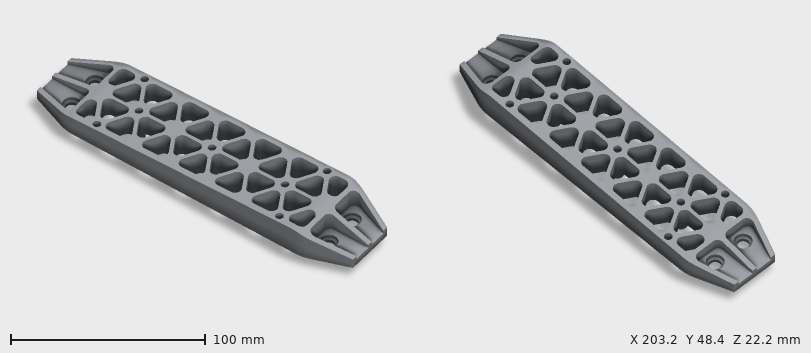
import cadquery as cq
import math

LENGTH = 203.2
WIDTH = 48.4
HALF_LENGTH = LENGTH / 2
HALF_WIDTH = WIDTH / 2

TIP_HALF_WIDTH = 14.6
TAPER_LENGTH = 25.6
SHOULDER_RADIUS = 26.5

TIP_HEIGHT = 6.0
KNEE_X = 71.7
LOW_KNEE_HEIGHT = 11.8
TOP_SLOPE = 0.036
HIGH_KNEE_HEIGHT = LOW_KNEE_HEIGHT + 2 * KNEE_X * TOP_SLOPE
KNEE_RADIUS = 15.0

PIN_SPACING = 47.0
PITCH = PIN_SPACING / 2
TRIANGLE_SIDE = 20.5
TRIANGLE_HEIGHT = TRIANGLE_SIDE * math.sqrt(3) / 2
WINDOW_RADIUS = 3.5
INNER_BASE_Y = 1.0
OUTER_BASE_Y = 20.5
END_WALL_X = 73.8
END_RIB_EXTRA = 0.5

HOLE_DIAMETER = 4.5
CORNER_HOLE_Y = 20.3
PIN_DIAMETER = 7.0
PIN_LENGTH = 5.3

POCKET_FLOOR = 4.0
POCKET_BACK_DEPTH = 25.5
POCKET_RIM = 3.0
POCKET_RADIUS = 3.5
CENTRE_RIB = 3.0
SCREW_INSET = 18.9
SCREW_Y = 10.0
SCREW_DIAMETER = 6.5
COUNTERBORE_DIAMETER = 9.8
COUNTERBORE_DEPTH = 2.0

CUT_HEIGHT = 40.6
TIP_OVERRUN = 10.2

SIDES = (-1, 1)


def edges_within(solid, direction, reach_x):
    """Straight edges along a direction that lie no farther than reach_x from the middle."""
    margin = 2.0
    box = cq.selectors.BoxSelector(
        (-reach_x - margin, -WIDTH, 0), (reach_x + margin, WIDTH, CUT_HEIGHT)
    )
    return solid.edges(direction).edges(box)


def make_body():
    """Plate with tapered ends, trimmed to the sloping top profile."""
    shoulder_x = HALF_LENGTH - TAPER_LENGTH
    plan = (
        cq.Workplane("XY")
        .polyline([
            (-HALF_LENGTH, -TIP_HALF_WIDTH),
            (-shoulder_x, -HALF_WIDTH),
            (shoulder_x, -HALF_WIDTH),
            (HALF_LENGTH, -TIP_HALF_WIDTH),
            (HALF_LENGTH, TIP_HALF_WIDTH),
            (shoulder_x, HALF_WIDTH),
            (-shoulder_x, HALF_WIDTH),
            (-HALF_LENGTH, TIP_HALF_WIDTH),
        ])
        .close()
        .extrude(CUT_HEIGHT)
    )
    plan = edges_within(plan, "|Z", shoulder_x).fillet(SHOULDER_RADIUS)

    profile = (
        cq.Workplane("XZ")
        .polyline([
            (-HALF_LENGTH, 0),
            (HALF_LENGTH, 0),
            (HALF_LENGTH, TIP_HEIGHT),
            (KNEE_X, HIGH_KNEE_HEIGHT),
            (-KNEE_X, LOW_KNEE_HEIGHT),
            (-HALF_LENGTH, TIP_HEIGHT),
        ])
        .close()
        .extrude(HALF_WIDTH, both=True)
    )
    profile = edges_within(profile, "|Y", KNEE_X).fillet(KNEE_RADIUS)
    return plan.intersect(profile)


def window(corners):
    """Through cutter with rounded corners."""
    prism = cq.Workplane("XY").polyline(corners).close().extrude(CUT_HEIGHT)
    return prism.edges("|Z").fillet(WINDOW_RADIUS)


def triangle_window(x, base_y, apex_y):
    """Whole triangle with its base parallel to X."""
    half_side = TRIANGLE_SIDE / 2
    return window([(x - half_side, base_y), (x + half_side, base_y), (x, apex_y)])


def end_window(end, side):
    """Triangle of the outer row cut off by the end wall."""
    sharp_x = 3 * PITCH - TRIANGLE_SIDE / 2 + END_RIB_EXTRA
    point_y = OUTER_BASE_Y - (END_WALL_X - sharp_x) * math.sqrt(3)
    return window([
        (end * END_WALL_X, side * OUTER_BASE_Y),
        (end * sharp_x, side * OUTER_BASE_Y),
        (end * END_WALL_X, side * point_y),
    ])


def cut_lattice(body):
    """Interleaved rows of triangles, mirrored about the centre line."""
    for side in SIDES:
        for step in range(-2, 3):
            apex_y = OUTER_BASE_Y - TRIANGLE_HEIGHT
            body = body.cut(triangle_window(step * PITCH, side * OUTER_BASE_Y, side * apex_y))
        for step in range(-3, 3):
            apex_y = INNER_BASE_Y + TRIANGLE_HEIGHT
            body = body.cut(triangle_window((step + 0.5) * PITCH, side * INNER_BASE_Y, side * apex_y))
        for end in SIDES:
            body = body.cut(end_window(end, side))
    return body


def add_pins_and_holes(body):
    """Hollow pins under the centre line and plain holes near the corners."""
    pin_points = [(step * PIN_SPACING, 0) for step in (-1, 0, 1)]
    corner_points = [(end * 2.5 * PITCH, side * CORNER_HOLE_Y) for end in SIDES for side in SIDES]
    pins = cq.Workplane("XY").pushPoints(pin_points).circle(PIN_DIAMETER / 2).extrude(-PIN_LENGTH)
    holes = (
        cq.Workplane("XY")
        .workplane(offset=-PIN_LENGTH)
        .pushPoints(pin_points + corner_points)
        .circle(HOLE_DIAMETER / 2)
        .extrude(CUT_HEIGHT)
    )
    return body.union(pins).cut(holes)


def screw_pocket(end, side):
    """Pocket open at the tip, with a counterbored screw hole in its floor."""
    taper = math.atan2(HALF_WIDTH - TIP_HALF_WIDTH, TAPER_LENGTH)
    back_x = HALF_LENGTH - POCKET_BACK_DEPTH
    outer_x = HALF_LENGTH + TIP_OVERRUN
    rim_y = TIP_HALF_WIDTH - POCKET_RIM / math.cos(taper)
    back_y = rim_y + POCKET_BACK_DEPTH * math.tan(taper)
    rib_y = CENTRE_RIB / 2
    pocket = (
        cq.Workplane("XY")
        .workplane(offset=POCKET_FLOOR)
        .polyline([
            (end * outer_x, side * rib_y),
            (end * back_x, side * rib_y),
            (end * back_x, side * back_y),
            (end * HALF_LENGTH, side * rim_y),
            (end * outer_x, side * rim_y),
        ])
        .close()
        .extrude(CUT_HEIGHT)
    )
    pocket = edges_within(pocket, "|Z", back_x).fillet(POCKET_RADIUS)
    screw_x = end * (HALF_LENGTH - SCREW_INSET)
    axis = cq.Workplane("XY").center(screw_x, side * SCREW_Y)
    bore = axis.circle(SCREW_DIAMETER / 2).extrude(CUT_HEIGHT)
    counterbore = (
        axis.workplane(offset=POCKET_FLOOR - COUNTERBORE_DEPTH)
        .circle(COUNTERBORE_DIAMETER / 2)
        .extrude(CUT_HEIGHT)
    )
    return pocket.union(bore).union(counterbore)


result = make_body()
result = cut_lattice(result)
result = add_pins_and_holes(result)
for end in SIDES:
    for side in SIDES:
        result = result.cut(screw_pocket(end, side))